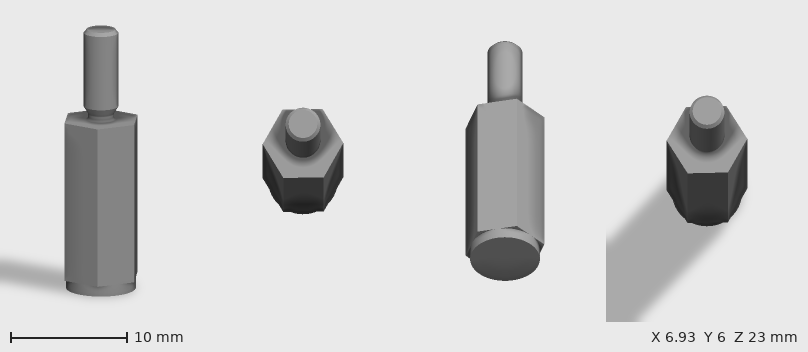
import cadquery as cq
import math

total_height = 23.0
collar_height = 1.0
stud_length = 8.0
shoulder_z = total_height - stud_length

across_flats = 6.0
across_corners = across_flats / math.cos(math.radians(30))
collar_diameter = across_flats

stud_radius = 3.0 / 2
tip_radius = 2.45 / 2
tip_chamfer_height = 0.3

groove_radius = 2.2 / 2
undercut_height = 1.17
fillet_radius = 0.2
runout_angle = math.radians(30)


def make_collar():
    return cq.Workplane("XY").circle(collar_diameter / 2).extrude(collar_height)


def make_hex_body():
    """Hexagon with two corners on the X axis."""
    return (
        cq.Workplane("XY", origin=(0, 0, collar_height))
        .polygon(6, across_corners)
        .extrude(shoulder_z - collar_height)
    )


def make_stud():
    """Revolve the stud profile, including its filleted root and conical runout."""
    def fillet_point(angle):
        """Offset along (radius, height) around an undercut fillet, from the groove wall."""
        return (
            fillet_radius * (1 - math.cos(angle)),
            fillet_radius * math.sin(angle),
        )

    runout_rise, blend_height = fillet_point(runout_angle)
    mid_rise, mid_height = fillet_point(runout_angle / 2)
    cone_start_radius = groove_radius + runout_rise
    cone_height = (stud_radius - cone_start_radius) / math.tan(runout_angle)
    cone_top_z = shoulder_z + undercut_height
    cone_start_z = cone_top_z - cone_height
    groove_top_z = cone_start_z - blend_height

    groove_bottom_z = shoulder_z + fillet_radius
    root_rise, root_drop = fillet_point(math.radians(45))

    return (
        cq.Workplane("XZ")
        .moveTo(0, shoulder_z)
        .lineTo(groove_radius + fillet_radius, shoulder_z)
        .threePointArc(
            (groove_radius + root_rise, groove_bottom_z - root_drop),
            (groove_radius, groove_bottom_z),
        )
        .lineTo(groove_radius, groove_top_z)
        .threePointArc(
            (groove_radius + mid_rise, groove_top_z + mid_height),
            (cone_start_radius, cone_start_z),
        )
        .lineTo(stud_radius, cone_top_z)
        .lineTo(stud_radius, total_height - tip_chamfer_height)
        .lineTo(tip_radius, total_height)
        .lineTo(0, total_height)
        .close()
        .revolve(360, (0, 0, 0), (0, 1, 0))
    )


result = make_collar().union(make_hex_body()).union(make_stud())